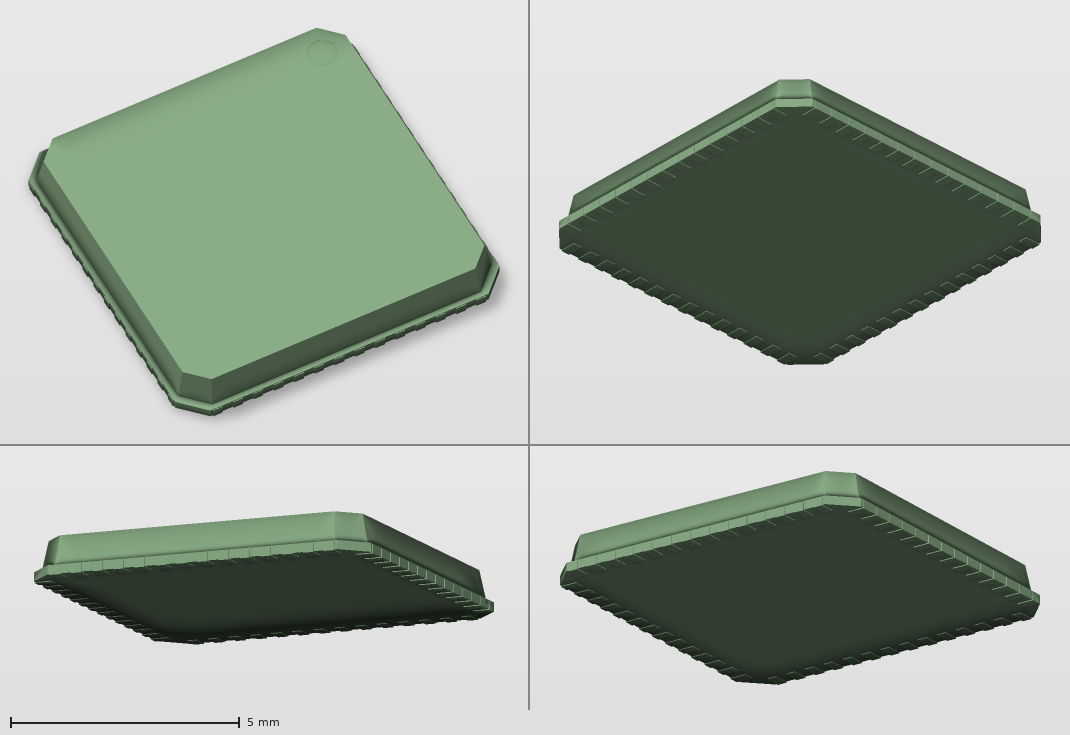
import cadquery as cq
import math

overall_width = 8.04
overall_height = 0.93

pads_per_side = 14
pad_row_span = 6.505
pad_pitch = pad_row_span / (pads_per_side - 1)
pad_width = 0.23
pad_length = 0.4
pad_top = 0.2
pad_protrusion = 0.02

flange_width = overall_width - 2 * pad_protrusion
flange_corner = 0.56
flange_bottom = pad_protrusion
flange_top = 0.225

cap_inset = 0.13
cap_draft = 0.145
cap_corner = 0.555

mark_diameter = 0.71
mark_offset = 3.05
mark_depth = 0.01


def chamfered_square(width, corner, z):
    """Square outline centred on the axis, with its four corners cut at 45 degrees."""
    half = width / 2
    inner = half - corner
    return cq.Workplane("XY").workplane(offset=z).polyline([
        (-inner, -half), (inner, -half), (half, -inner), (half, inner),
        (inner, half), (-inner, half), (-half, inner), (-half, -inner),
    ]).close()


def make_flange():
    return chamfered_square(flange_width, flange_corner, flange_bottom).extrude(flange_top - flange_bottom)


def make_cap():
    height = overall_height - flange_top
    draft_angle = math.degrees(math.atan2(cap_draft, height))
    base = chamfered_square(flange_width - 2 * cap_inset, cap_corner, flange_top)
    return base.extrude(height, taper=draft_angle)


def make_pad_row():
    """Row of pads along the -Y side."""
    pad_centre_y = -(overall_width - pad_length) / 2
    return (
        cq.Workplane("XY")
        .center(0, pad_centre_y)
        .rarray(pad_pitch, 0.08, pads_per_side, 1)
        .rect(pad_width, pad_length)
        .extrude(pad_top)
    )


def make_pin_one_mark():
    return (
        cq.Workplane("XY")
        .workplane(offset=overall_height - mark_depth)
        .center(-mark_offset, mark_offset)
        .circle(mark_diameter / 2)
        .extrude(mark_depth)
    )


body = make_flange().union(make_cap())
pad_row = make_pad_row()
for side in range(4):
    body = body.union(pad_row.rotate((0, 0, 0), (0, 0, 1), 90 * side))

result = body.cut(make_pin_one_mark())